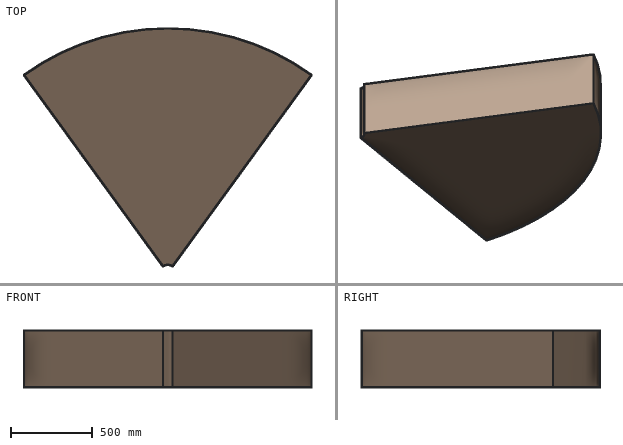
import cadquery as cq
import math

outer_radius = 1500.0
inner_radius = 50.0
height = 350.0
sector_angle = 72.0

half_angle = math.radians(sector_angle / 2)


def polar_point(radius, angle_from_y):
    """Point at a radius from the ring axis, turned from +Y toward +X."""
    return (radius * math.sin(angle_from_y), radius * math.cos(angle_from_y))


def make_sector():
    """Sector block with a concentric concave arc cutting off its tip."""
    return (
        cq.Workplane("XY")
        .moveTo(*polar_point(inner_radius, -half_angle))
        .lineTo(*polar_point(outer_radius, -half_angle))
        .threePointArc(polar_point(outer_radius, 0), polar_point(outer_radius, half_angle))
        .lineTo(*polar_point(inner_radius, half_angle))
        .threePointArc(polar_point(inner_radius, 0), polar_point(inner_radius, -half_angle))
        .close()
        .extrude(height)
    )


sector = make_sector()

result = cq.Compound.makeCompound([sector.val()])